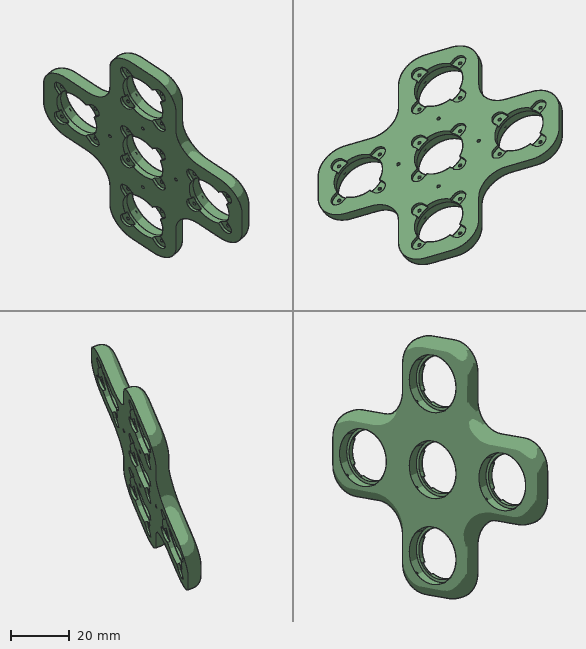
import cadquery as cq

span = 90
arm_width = span / 3
thickness = 5.9
corner_radius = 10.2
edge_fillet = thickness * 2 / 3

window_diameter = 18
window_bore_diameter = 20.1
lip_depth = 2.0
window_pitch = arm_width

hole_diameter = 1.2
hole_depth = 4.95
screw_pitch = 15.2
screw_offset = screw_pitch / 2
recess_radius = 2.5
recess_depth = 1.0

flat_y = -thickness / 2
window_centres = [
    (0, 0),
    (window_pitch, 0),
    (-window_pitch, 0),
    (0, window_pitch),
    (0, -window_pitch),
]
plate_hole_centres = [(x / 2, z / 2) for x, z in window_centres[1:]]


def cylinders(centres, diameter, start_depth, end_depth):
    """Cylinders along Y between two depths below the flat face."""
    start = cq.Workplane("XZ", origin=(0, flat_y + start_depth, 0))
    return start.pushPoints(centres).circle(diameter / 2).extrude(start_depth - end_depth)


def make_plate():
    """Cross with rounded corners and a rounded rim on the +Y side."""
    upright = cq.Workplane("XY").box(arm_width, thickness, span)
    crossbar = cq.Workplane("XY").box(span, thickness, arm_width)
    cross = upright.union(crossbar).edges("|Y").fillet(corner_radius)
    return cross.faces(">Y").edges().fillet(edge_fillet)


def make_recesses(x, z):
    """Two crossed round-ended recesses that reach the four screws of one window."""
    face = cq.Workplane("XZ", origin=(x, flat_y, z))
    length = 2 * (screw_offset * 2**0.5 + recess_radius)
    rising = face.slot2D(length, 2 * recess_radius, 45).extrude(-recess_depth)
    falling = face.slot2D(length, 2 * recess_radius, -45).extrude(-recess_depth)
    return rising.union(falling)


screw_centres = [
    (x + side * screw_offset, z + level * screw_offset)
    for x, z in window_centres
    for side in (-1, 1)
    for level in (-1, 1)
]

result = make_plate()
for x, z in window_centres:
    result = result.cut(make_recesses(x, z))
result = result.cut(cylinders(window_centres, window_diameter, 0, thickness))
result = result.cut(cylinders(window_centres, window_bore_diameter, lip_depth, thickness))
result = result.cut(cylinders(screw_centres + plate_hole_centres, hole_diameter, 0, hole_depth))